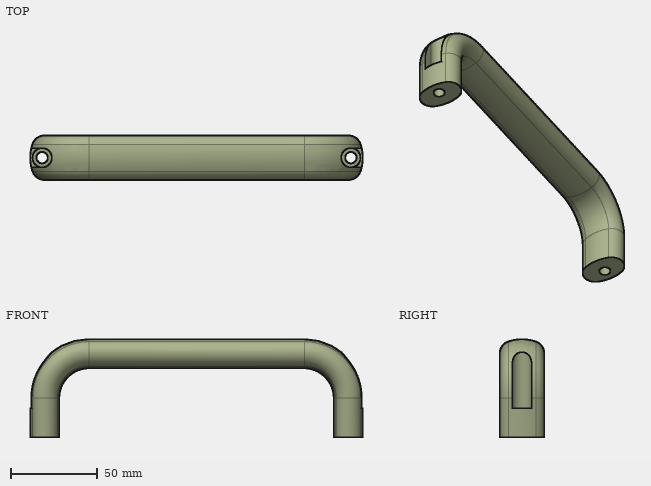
import cadquery as cq
import math

length = 193.0
height = 57.0
grip_width = 26.0
grip_thickness = 17.0
inner_bend_radius = 17.0

crown_radius = 24.0

hole_spacing = 179.0
hole_diameter = 6.5
recess_width = 11.2
mouth_floor = 17.0
recess_floor = 8.0

half_width = grip_width / 2
half_thickness = grip_thickness / 2
leg_offset = length / 2 - half_thickness
bend_radius = inner_bend_radius + half_thickness
bend_height = height - inner_bend_radius - grip_thickness
bend_offset = leg_offset - bend_radius
bar_height = height - half_thickness

crown_centre = crown_radius - half_thickness
side_radius = (half_width**2 + crown_centre**2 - crown_radius**2) / (2 * (half_width - crown_radius))
side_centre = half_width - side_radius
tangent_angle = math.atan2(side_centre, crown_centre)
tangent_width = crown_radius * math.sin(tangent_angle)
tangent_depth = crown_radius * math.cos(tangent_angle) - crown_centre


def grip_section():
    """Oval of two shallow crowns and two rounded sides, drawn across the foot of the left leg."""
    plane = cq.Plane(origin=(-leg_offset, 0, 0), xDir=(0, 1, 0), normal=(0, 0, 1))
    return (
        cq.Workplane(plane)
        .moveTo(-tangent_width, tangent_depth)
        .threePointArc((0, half_thickness), (tangent_width, tangent_depth))
        .threePointArc((half_width, 0), (tangent_width, -tangent_depth))
        .threePointArc((0, -half_thickness), (-tangent_width, -tangent_depth))
        .threePointArc((-half_width, 0), (-tangent_width, tangent_depth))
        .close()
    )


def grip_path():
    """Centre line: up one leg, around the bend, along the bar and down the other leg."""
    bend_mid = bend_radius * math.sin(math.pi / 4)
    return (
        cq.Workplane("XZ")
        .moveTo(-leg_offset, 0)
        .lineTo(-leg_offset, bend_height)
        .threePointArc((-bend_offset - bend_mid, bend_height + bend_mid), (-bend_offset, bar_height))
        .lineTo(bend_offset, bar_height)
        .threePointArc((bend_offset + bend_mid, bend_height + bend_mid), (leg_offset, bend_height))
        .lineTo(leg_offset, 0)
    )


def screw_recess(side):
    """Round screw-head bore with a mouth above it that opens towards the outside of the leg."""
    hole_offset = hole_spacing / 2
    mouth_reach = length / 2 - hole_offset
    bore = (
        cq.Workplane("XY")
        .workplane(offset=recess_floor)
        .center(side * hole_offset, 0)
        .circle(recess_width / 2)
        .extrude(height - recess_floor)
    )
    mouth = (
        cq.Workplane("XY")
        .workplane(offset=mouth_floor)
        .center(side * (hole_offset + mouth_reach / 2), 0)
        .rect(mouth_reach, recess_width)
        .extrude(height - mouth_floor)
    )
    return bore.union(mouth)


def screw_hole(side):
    """Through hole from the foot up into the recess."""
    return (
        cq.Workplane("XY")
        .center(side * hole_spacing / 2, 0)
        .circle(hole_diameter / 2)
        .extrude(recess_floor)
    )


handle = grip_section().sweep(grip_path())
for leg_side in (-1, 1):
    handle = handle.cut(screw_recess(leg_side))
    handle = handle.cut(screw_hole(leg_side))

result = handle